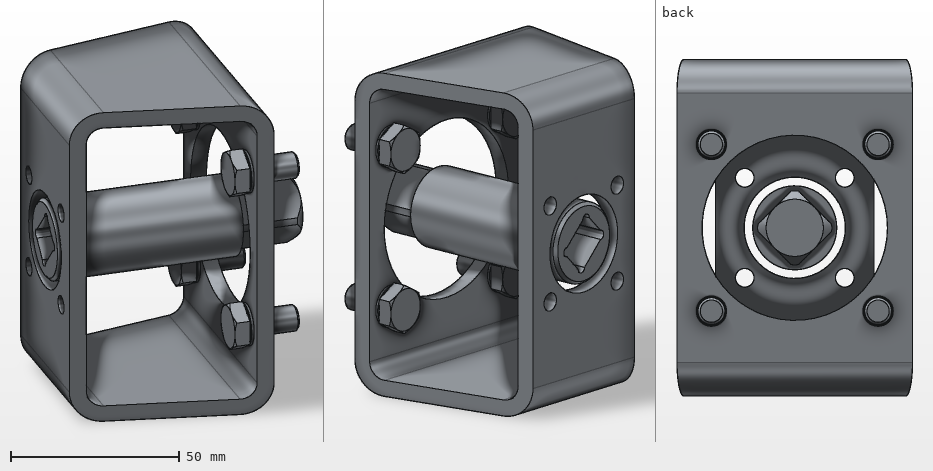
import cadquery as cq
import math

diagonal = 45.0
diagonal_ratio = math.sin(math.radians(diagonal))

bracket_depth = 60.0
bracket_height = 100.0
back_width = 70.0
front_width = 45.0
wall = 5.0
outer_bend_radius = 10.0
inner_bend_radius = outer_bend_radius - wall
back_wall_front = bracket_depth - wall

front_opening_diameter = 30.0
back_opening_diameter = 55.0
small_hole_diameter = 5.5
small_hole_circle = 42.0
bolt_hole_diameter = 9.0
bolt_circle = 70.0

shaft_front = 0.0
shaft_back = 78.0
shaft_diameter = 25.0
shaft_shoulder = 58.0
shaft_chamfer = 1.0
square_across_flats = 17.0
square_corner_diameter = 22.0
square_end_chamfer = (square_corner_diameter - square_across_flats) / 2

socket_length = 14.0
socket_width = 11.0
socket_depth = 16.0
relief_radius = 1.4

thread_diameter = 8.0
bolt_length = 16.0
bolt_tip_chamfer = 0.7
hex_across_flats = 13.0
hex_half_side_angle = 30.0
head_height = 5.3
hex_chamfer_angle = 30.0
bearing_diameter = 11.63
bearing_height = 0.6
washer_outer_diameter = 13.0
washer_hole_diameter = 8.4
washer_thickness = 0.75

washer_front = back_wall_front - washer_thickness
head_front = washer_front - head_height


def facing_back(y):
    """Workplane at the given Y, extruding toward +Y, with local X along -X and local Y along +Z."""
    return cq.Workplane(cq.Plane(origin=(0, y, 0), xDir=(-1, 0, 0), normal=(0, 1, 0)))


def rod(diameter, start, end):
    """Cylinder on the Y axis between two Y positions."""
    return facing_back(start).circle(diameter / 2).extrude(end - start)


def square_pattern(circle_diameter):
    """Four (X, Z) points on a circle, on its diagonals."""
    offset = circle_diameter / 2 * diagonal_ratio
    return [(x, z) for x in (-offset, offset) for z in (-offset, offset)]


def make_bracket():
    middle = bracket_depth / 2
    loop = (
        cq.Workplane("YZ").center(middle, 0)
        .rect(bracket_depth, bracket_height)
        .extrude(back_width / 2, both=True)
        .edges("|X").fillet(outer_bend_radius)
    )
    inside = (
        cq.Workplane("YZ").center(middle, 0)
        .rect(bracket_depth - 2 * wall, bracket_height - 2 * wall)
        .extrude(back_width / 2, both=True)
        .edges("|X").fillet(inner_bend_radius)
    )
    taper = (
        cq.Workplane("XY")
        .polyline([
            (-front_width / 2, 0),
            (front_width / 2, 0),
            (back_width / 2, bracket_depth),
            (-back_width / 2, bracket_depth),
        ])
        .close()
        .extrude(bracket_height / 2, both=True)
    )
    bracket = loop.cut(inside).intersect(taper)

    bracket = bracket.cut(rod(front_opening_diameter, 0, wall))
    bracket = bracket.cut(rod(back_opening_diameter, back_wall_front, bracket_depth))
    small_holes = (
        facing_back(0).pushPoints(square_pattern(small_hole_circle))
        .circle(small_hole_diameter / 2).extrude(wall)
    )
    bolt_holes = (
        facing_back(back_wall_front).pushPoints(square_pattern(bolt_circle))
        .circle(bolt_hole_diameter / 2).extrude(wall)
    )
    return bracket.cut(small_holes).cut(bolt_holes)


def make_socket():
    """Cutter for the socket; each relief circle passes through a corner of the rectangle."""
    relief_inset = relief_radius * diagonal_ratio
    pocket = facing_back(shaft_front).rect(socket_length, socket_width).extrude(socket_depth)
    reliefs = (
        facing_back(shaft_front)
        .rect(socket_length - 2 * relief_inset, socket_width - 2 * relief_inset, forConstruction=True)
        .vertices().circle(relief_radius).extrude(socket_depth)
    )
    return pocket.union(reliefs).rotate((0, 0, 0), (0, 1, 0), -diagonal)


def make_shaft():
    body = rod(shaft_diameter, shaft_front, shaft_shoulder).faces("<Y").chamfer(shaft_chamfer)
    square = (
        facing_back(shaft_shoulder)
        .rect(square_across_flats, square_across_flats)
        .extrude(shaft_back - shaft_shoulder)
        .rotate((0, 0, 0), (0, 1, 0), diagonal)
    )
    rounding = (
        rod(square_corner_diameter, shaft_shoulder, shaft_back)
        .faces(">Y").chamfer(square_end_chamfer)
    )
    return body.union(square.intersect(rounding)).cut(make_socket())


def make_bolt():
    """Bolt on the Y axis, head toward -Y, with two corners of the hexagon along Z."""
    flat_radius = hex_across_flats / 2
    corner_radius = flat_radius / math.cos(math.radians(hex_half_side_angle))
    chamfer_depth = (corner_radius - flat_radius) * math.tan(math.radians(hex_chamfer_angle))
    bearing_front = washer_front - bearing_height
    hexagon = (
        facing_back(head_front)
        .polygon(6, 2 * corner_radius)
        .extrude(bearing_front - head_front)
        .rotate((0, 0, 0), (0, 1, 0), hex_half_side_angle)
    )
    chamfer_cone = (
        cq.Workplane("XY")
        .polyline([
            (0, head_front),
            (flat_radius, head_front),
            (corner_radius, head_front + chamfer_depth),
            (corner_radius, bearing_front),
            (0, bearing_front),
        ])
        .close()
        .revolve(360, (0, 0, 0), (0, 1, 0))
    )
    bearing = rod(bearing_diameter, bearing_front, washer_front)
    shank = (
        rod(thread_diameter, washer_front, washer_front + bolt_length)
        .faces(">Y").chamfer(bolt_tip_chamfer)
    )
    return hexagon.intersect(chamfer_cone).union(bearing).union(shank)


def make_washer():
    disc = rod(washer_outer_diameter, washer_front, back_wall_front)
    return disc.cut(rod(washer_hole_diameter, washer_front, back_wall_front))


bracket = make_bracket()
shaft = make_shaft()
bolts = []
washers = []
for x, z in square_pattern(bolt_circle):
    bolts.append(make_bolt().translate((x, 0, z)).val())
    washers.append(make_washer().translate((x, 0, z)).val())

result = cq.Compound.makeCompound([bracket.val(), shaft.val(), *bolts, *washers])